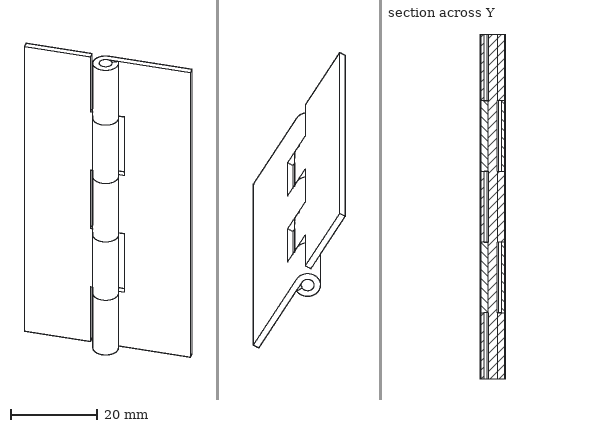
import cadquery as cq
import math

hinge_width = 40.0
hinge_length = 80.0
barrel_diameter = 6.0
pin_diameter = barrel_diameter / 2
inner_knuckle_length = 16.4
slot_half_width = 4.1
curl_end_angle = 28.0

barrel_radius = barrel_diameter / 2
pin_radius = pin_diameter / 2
plate_thickness = barrel_radius - pin_radius
half_width = hinge_width / 2
half_length = hinge_length / 2

knuckle_levels = [
    -half_length,
    -1.5 * inner_knuckle_length,
    -0.5 * inner_knuckle_length,
    0.5 * inner_knuckle_length,
    1.5 * inner_knuckle_length,
    half_length,
]


def polar_point(radius, angle):
    """Point at an angle in degrees from +X around the hinge axis."""
    angle_rad = math.radians(angle)
    return (radius * math.cos(angle_rad), radius * math.sin(angle_rad))


def make_knuckle(bottom, top):
    """Strip that leaves the plate on the +X side and curls around the pin."""
    curl_middle_angle = (90 + 360 + curl_end_angle) / 2
    return (
        cq.Workplane("XY", origin=(0, 0, bottom))
        .moveTo(slot_half_width, barrel_radius)
        .lineTo(0, barrel_radius)
        .threePointArc(
            polar_point(barrel_radius, curl_middle_angle),
            polar_point(barrel_radius, curl_end_angle),
        )
        .lineTo(*polar_point(pin_radius, curl_end_angle))
        .threePointArc(polar_point(pin_radius, curl_middle_angle), (0, pin_radius))
        .lineTo(slot_half_width, pin_radius)
        .close()
        .extrude(top - bottom)
    )


def make_leaf(knuckle_numbers):
    """Flat plate on the +X side, with the numbered knuckles along its inner edge."""
    leaf = cq.Workplane("XY").box(
        half_width - slot_half_width, plate_thickness, hinge_length, centered=(False, False, True)
    ).translate((slot_half_width, pin_radius, 0))
    for number in knuckle_numbers:
        leaf = leaf.union(make_knuckle(knuckle_levels[number], knuckle_levels[number + 1]))
    return leaf.clean()


def make_pin():
    """Plain pin that fills the bore of the knuckles over the full length."""
    return cq.Workplane("XY", origin=(0, 0, -half_length)).circle(pin_radius).extrude(hinge_length)


right_leaf = make_leaf([0, 2, 4])
left_leaf = make_leaf([1, 3]).mirror("YZ")
pin = make_pin()

result = cq.Compound.makeCompound([right_leaf.val(), left_leaf.val(), pin.val()])